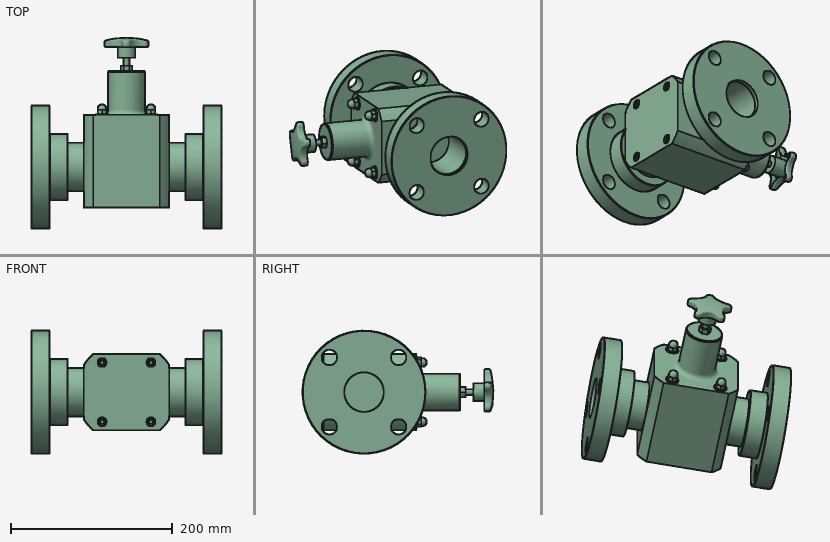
import cadquery as cq
import math


overall_length = 235.0
overall_depth = 236.2
flange_diameter = 152.4
flange_thickness = 22.7
hub_diameter = 82.5
hub_length = 22.2
pipe_diameter = 60.2
bore_diameter = 48.7
bore_mouth_diameter = 49.1
bore_mouth_depth = 5.2
flange_hole_diameter = 19
flange_hole_offset = 42.8
rim_chamfer = 0.7

body_width = 105.1
body_height = 94.7
body_back = 64.5
body_front = -50.0
body_corner_radius = 62.5

bolt_spacing_x = 60.5
bolt_spacing_z = 73.2
counterbore_diameter = 11.0
counterbore_depth = 9.5
screw_head_diameter = 9.5
screw_head_recess = 0.5
socket_across_flats = 5.2
socket_depth = 2.4
socket_point_depth = 1.5
washer_diameter = 15.8
washer_thickness = 0.7
cap_nut_width = 11.0
cap_nut_hex_height = 5.5
cap_nut_collar_height = 1.5
cap_nut_chamfer = 1.0

bonnet_diameter = 45.8
bonnet_end = 119.0
bonnet_foot_radius = 6.1
bonnet_chamfer_length = 1.7
bonnet_chamfer_width = 1.0
stem_diameter = 7.5
locknut_corner_diameter = 14.6
locknut_height = 6.4

wheel_top = overall_depth - flange_diameter / 2
wheel_thickness = 11.8
wheel_edge_thickness = 7.5
wheel_hub_diameter = 22.2
wheel_hub_length = 13.2
lobe_count = 5
lobe_radius = 5.0
lobe_circle_radius = 23.6
valley_distance = 18.0
wheel_fillet = 2.4
wheel_wall = 2.5

hex_corner_ratio = 1 / math.cos(math.pi / 6)
half_length = overall_length / 2
flange_inner = half_length - flange_thickness
hub_inner = flange_inner - hub_length
bolt_centers = [
    (x, z)
    for x in (-bolt_spacing_x / 2, bolt_spacing_x / 2)
    for z in (-bolt_spacing_z / 2, bolt_spacing_z / 2)
]


def plane_y(y):
    """Work plane at height y: local x is X, local y is Z, extrusion goes toward -Y."""
    return cq.Workplane("XZ", origin=(0, y, 0))


def rod_y(diameter, start, end):
    return plane_y(end).circle(diameter / 2).extrude(end - start)


def rod_x(diameter, start, end):
    return cq.Workplane("YZ", origin=(start, 0, 0)).circle(diameter / 2).extrude(end - start)


def pipe_end():
    """Pipe stub, hub and drilled flange on the +X side, with a blind bore."""
    flange = rod_x(flange_diameter, flange_inner, half_length).edges().chamfer(rim_chamfer)
    hub = rod_x(hub_diameter, hub_inner, flange_inner).edges().chamfer(rim_chamfer)
    pipe = rod_x(pipe_diameter, 0, half_length - rim_chamfer)
    bore = rod_x(bore_diameter, body_width / 2, half_length)
    mouth = rod_x(bore_mouth_diameter, half_length - bore_mouth_depth, half_length)
    holes = (
        cq.Workplane("YZ", origin=(flange_inner, 0, 0))
        .rect(2 * flange_hole_offset, 2 * flange_hole_offset, forConstruction=True)
        .vertices()
        .circle(flange_hole_diameter / 2)
        .extrude(flange_thickness)
    )
    return flange.union(hub).union(pipe).cut(bore).cut(mouth).cut(holes)


def body():
    """Rectangular block whose four long corners are rounded by one large cylinder."""
    depth = body_back - body_front
    block = plane_y(body_back).rect(body_width, body_height).extrude(depth)
    return block.intersect(rod_y(2 * body_corner_radius, body_front, body_back))


def counterbores():
    return (
        plane_y(body_front + counterbore_depth)
        .pushPoints(bolt_centers)
        .circle(counterbore_diameter / 2)
        .extrude(counterbore_depth)
    )


def screw_heads():
    """Screw heads on the counterbore floors, with hexagon sockets ending in a drill point."""
    height = counterbore_depth - screw_head_recess
    heads = (
        plane_y(body_front + counterbore_depth)
        .pushPoints(bolt_centers)
        .circle(screw_head_diameter / 2)
        .extrude(height)
    )
    socket_floor = body_front + screw_head_recess + socket_depth
    sockets = (
        plane_y(socket_floor)
        .pushPoints(bolt_centers)
        .polygon(6, socket_across_flats * hex_corner_ratio)
        .extrude(socket_depth)
    )
    drill_point = cq.Solid.makeCone(
        socket_across_flats / 2,
        0,
        socket_point_depth,
        pnt=cq.Vector(0, socket_floor, 0),
        dir=cq.Vector(0, 1, 0),
    )
    heads = heads.cut(sockets)
    for x, z in bolt_centers:
        heads = heads.cut(cq.Workplane(drill_point).translate((x, 0, z)))
    return heads


def cap_nut():
    """Washer and domed hexagon nut on the Y axis, standing on the back of the body."""
    washer_top = body_back + washer_thickness
    hex_top = washer_top + cap_nut_hex_height
    dome_base = hex_top + cap_nut_collar_height
    radius = cap_nut_width / 2
    corner_radius = radius * hex_corner_ratio

    washer = rod_y(washer_diameter, body_back, washer_top)
    hexagon = (
        plane_y(hex_top)
        .transformed(rotate=(0, 0, 30))
        .polygon(6, 2 * corner_radius)
        .extrude(cap_nut_hex_height)
    )
    chamfered_blank = (
        rod_y(2 * corner_radius, washer_top, hex_top).faces("<Y").chamfer(cap_nut_chamfer)
    )
    collar = rod_y(cap_nut_width, hex_top, dome_base)
    dome = cq.Workplane("XY", origin=(0, dome_base, 0)).sphere(radius)
    return washer.union(hexagon.intersect(chamfered_blank)).union(collar).union(dome)


def bonnet():
    """Turned housing with a flared foot and a chamfered outer end."""
    radius = bonnet_diameter / 2
    foot = bonnet_foot_radius
    foot_bend = foot * (1 - math.sqrt(0.5))
    return (
        cq.Workplane("XY")
        .moveTo(0, body_back)
        .lineTo(radius + foot, body_back)
        .threePointArc(
            (radius + foot_bend, body_back + foot_bend),
            (radius, body_back + foot),
        )
        .lineTo(radius, bonnet_end - bonnet_chamfer_length)
        .lineTo(radius - bonnet_chamfer_width, bonnet_end)
        .lineTo(0, bonnet_end)
        .close()
        .revolve(360, (0, 0, 0), (0, 1, 0))
    )


def polar(distance, angle, center=(0, 0)):
    return (center[0] + distance * math.cos(angle), center[1] + distance * math.sin(angle))


def star_outline(workplane, inset=0):
    """Round lobes joined by concave arcs tangent to them, with one lobe pointing to +Z.

    The whole outline moves inward by the inset.
    """
    tip_radius = lobe_radius - inset
    valley_radius = valley_distance - inset
    half_pitch = math.pi / lobe_count
    drop = valley_radius - tip_radius
    valley_center = (lobe_circle_radius**2 - drop**2) / (
        2 * (lobe_circle_radius * math.cos(half_pitch) - drop)
    )
    tangent_angle = math.atan2(
        valley_center * math.sin(half_pitch),
        valley_center * math.cos(half_pitch) - lobe_circle_radius,
    )
    first_axis = math.pi / 2
    first_center = polar(lobe_circle_radius, first_axis)
    outline = workplane.moveTo(*polar(tip_radius, first_axis - tangent_angle, first_center))
    for i in range(lobe_count):
        axis = first_axis + 2 * half_pitch * i
        next_axis = axis + 2 * half_pitch
        center = polar(lobe_circle_radius, axis)
        next_center = polar(lobe_circle_radius, next_axis)
        outline = outline.threePointArc(
            polar(lobe_circle_radius + tip_radius, axis),
            polar(tip_radius, axis + tangent_angle, center),
        ).threePointArc(
            polar(valley_radius, axis + half_pitch),
            polar(tip_radius, next_axis - tangent_angle, next_center),
        )
    return outline.close()


def wheel_dome(top):
    """Shallow ball whose highest point lies at the given height, for trimming the wheel."""
    rim_radius = lobe_circle_radius + lobe_radius
    rise = wheel_thickness - wheel_edge_thickness
    dome_radius = (rim_radius**2 + rise**2) / (2 * rise)
    return cq.Workplane("XY", origin=(0, top - dome_radius, 0)).sphere(dome_radius)


def handwheel():
    """Five-lobed wheel with a domed outer face, hollow underneath, and its hub."""
    wheel_bottom = wheel_top - wheel_thickness
    cavity_top = wheel_top - wheel_wall

    star = star_outline(plane_y(wheel_top)).extrude(wheel_thickness)
    star = star.intersect(wheel_dome(wheel_top))
    star = star.edges("not |Y").fillet(wheel_fillet)
    cavity = star_outline(plane_y(cavity_top), wheel_wall).extrude(cavity_top - wheel_bottom)
    cavity = cavity.intersect(wheel_dome(cavity_top))
    hub = rod_y(wheel_hub_diameter, wheel_bottom - wheel_hub_length, cavity_top)
    return star.cut(cavity).union(hub)


def stem():
    """Stem between bonnet and handwheel, with its hexagon locknut."""
    locknut_end = bonnet_end + locknut_height
    rod = rod_y(stem_diameter, bonnet_end, wheel_top - wheel_thickness)
    locknut = plane_y(locknut_end).polygon(6, locknut_corner_diameter).extrude(locknut_height)
    return rod.union(locknut)


result = body().union(pipe_end()).union(pipe_end().mirror("YZ"))
result = result.cut(counterbores()).union(screw_heads())
result = result.union(bonnet())
for bolt_x, bolt_z in bolt_centers:
    result = result.union(cap_nut().translate((bolt_x, 0, bolt_z)))
result = result.union(stem()).union(handwheel())